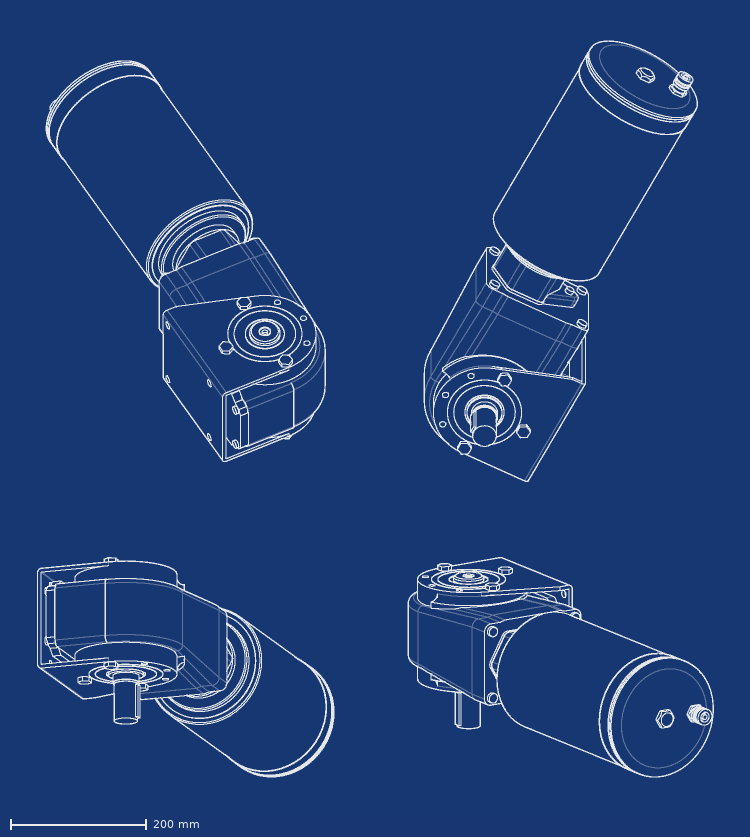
import cadquery as cq
import math


MOTOR_Y = 30.0
CAP_DIAMETER = 181.0
BODY_DIAMETER = 179.0
CAP_REAR_X = -576.4
CAP_RIM_X = -571.5
CAP_FRONT_X = -539.0
CAP_FACE_RADIUS = 75.3
CAP_GROOVE_X = (-567.5, -563.0)
CAP_GROOVE_DEPTH = 0.6
BODY_FRONT_X = -258.0
BODY_FRONT_CHAMFER = 2.0
PILOT_RADIUS = 81.0
FLANGE_X = (-256.5, -245.5)
FLANGE_RADIUS = 70.8
FLANGE_CHAMFER = 2.0
COLLAR_RADIUS = 53.0
COLLAR_FRONT_X = -235.0

PLUG_ACROSS_FLATS = 25.0
PLUG_HEIGHT = 8.7
PLUG_CHAMFER = 4.0
CONNECTOR_Y = MOTOR_Y - 54.3
CONNECTOR_TIP_X = -604.2
CONNECTOR_HEAD_X = -587.6
CONNECTOR_NUT_X = -581.0
CONNECTOR_HEAD_RADIUS = 12.2
CONNECTOR_NECK_RADIUS = 10.0
CONNECTOR_NUT_FLATS = 24.0
CONNECTOR_BORE_DIAMETER = 14.6
CONNECTOR_BORE_DEPTH = 10.0
CONNECTOR_PIN_DIAMETER = 7.0
CONNECTOR_GROOVES_X = (-597.5, -593.0)
CONNECTOR_GROOVE_WIDTH = 1.5
CONNECTOR_GROOVE_DEPTH = 0.8

NECK_ACROSS_FLATS = 93.0
NECK_EDGE_RADIUS = 10.0
NECK_FOOT_LENGTH = 4.5
NECK_FOOT_STEP = 0.6

EAR_REAR_X = -200.5
EAR_TIP_Y = -41.5
EAR_TIP_RADIUS = 13.0
EAR_BASE_HALF = 40.0
EAR_EDGE_RADIUS = 4.0
EAR_BASE_Y = 0.0
EAR_BOLT_Y = -37.0
EAR_BOLT_DIAMETER = 12.0
EAR_BOLT_HEIGHT = 6.0

HOUSING_REAR_X = -184.5
HOUSING_TAPER_X = -151.0
HOUSING_LOW_Y = -78.5
HOUSING_HIGH_Y = 92.0
HOUSING_END_RADIUS = 89.5
HOUSING_REAR_HALF = 62.5
HOUSING_END_HALF = 48.0
HOUSING_EDGE_RADIUS = 11.0
HOUSING_END_EDGE_RADIUS = 8.0
HOUSING_END_BULGE = 1.5
PANEL_RISE = 2.2
PANEL_Y = (-45.5, 60.0)
PANEL_SIDE_RUN = 4.2
HOUSING_BOLT_Y = (-66.0, 79.5)
HOUSING_BOLT_Z = 51.0
HOUSING_BOLT_DIAMETER = 14.6
HOUSING_BOLT_HEIGHT = 5.0

COVER_OUTER_Y = -91.5
COVER_REAR_X = -98.0
COVER_HALF = 57.0
COVER_CORNER_RADIUS = 8.0
COVER_SHOULDER_X = 66.0
COVER_END_HALF = 48.0
COVER_NOSE_HALF = 36.0
COVER_END_X = 77.0
COVER_LUG_X = 88.5
COVER_LUG_HALF = 44.0
COVER_NOSE_X = 94.3
COVER_BOLT_X = 82.5
COVER_BOLT_Z = 38.0
COVER_BOLT_DIAMETER = 12.0
COVER_BOLT_HEIGHT = 4.0

BRACKET_THICKNESS = 6.0
BRACKET_HALF = 76.7
BRACKET_BACK_Y = -112.0
BRACKET_LEFT_X = -109.6
BRACKET_RADIUS = 75.8
BRACKET_SLANT_Y = -90.0
BRACKET_INNER_BEND = 0.6
MOUNT_HOLE_DIAMETER = 11.0
MOUNT_HOLE_X = (-95.5, 34.5)
MOUNT_HOLE_Z = 60.0
FACE_CIRCLE_RADIUS = 65.0
FACE_HOLE_DIAMETER = 9.0
FACE_HOLE_DEPTH = 20.0
FACE_HOLE_ANGLES = (45, 90, 135)
FACE_BOLT_ANGLES = (0, 180, 270)
FACE_BOLT_FLATS = 18.0
FACE_BOLT_HEIGHT = 6.5

BOSS_FLARE = 11.0
BOSS_FLARE_FRONT_X = -25.0
SEAT_RADIUS = 55.0
SEAT_DROP = 0.6
SEAL_RADIUS = 45.6
HUB_RADIUS = 29.0
HUB_DROP = 1.5

SHAFT_CAP_RADIUS = 22.5
SHAFT_CAP_TOP = 82.0
SHAFT_CAP_CHAMFER = 2.5
SHAFT_CAP_RECESS_RADIUS = 8.4
SHAFT_CAP_RECESS_DEPTH = 2.0
SHAFT_CAP_HOLE_DIAMETER = 8.38
SHAFT_CAP_HOLE_DEPTH = 8.0
SHAFT_DIAMETER = 35.0
SHAFT_END_Z = -148.5
SLEEVE_DIAMETER = 39.0
SLEEVE_END_Z = -89.3
SHAFT_COLLAR_DIAMETER = 52.0
SHAFT_COLLAR_END_Z = -78.8
SHOULDER_DIAMETER = 36.4
SHOULDER_END_Z = -92.0
KEY_WIDTH = 10.0
KEY_TOP_Y = 20.5
KEY_Z = (-144.5, -94.5)


def along_x(x0, x1, radius, y=MOTOR_Y, z=0.0):
    """Cylinder parallel to X from x0 to x1."""
    return cq.Workplane("YZ", origin=(x0, y, z)).circle(radius).extrude(x1 - x0)


def hexagon_along_x(x0, x1, across_flats, y):
    """Hexagonal bar parallel to X, with two corners on the Y direction."""
    corner_diameter = across_flats / math.cos(math.pi / 6)
    return cq.Workplane("YZ", origin=(x0, y, 0)).polygon(6, corner_diameter).extrude(x1 - x0)


def along_z(z0, z1, radius):
    """Cylinder about the output shaft axis from z0 to z1."""
    return cq.Workplane("XY", origin=(0, 0, z0)).circle(radius).extrude(z1 - z0)


def doubled_across_z(shape):
    """The shape together with its mirror image below the XY plane."""
    return shape.union(shape.mirror("XY"))


def make_motor():
    cap_radius = CAP_DIAMETER / 2
    body_radius = BODY_DIAMETER / 2
    groove_radius = cap_radius - CAP_GROOVE_DEPTH
    groove_start, groove_end = CAP_GROOVE_X
    profile = [
        (CAP_REAR_X, 0),
        (CAP_REAR_X, CAP_FACE_RADIUS),
        (CAP_RIM_X, cap_radius),
        (groove_start, cap_radius),
        (groove_start, groove_radius),
        (groove_end, groove_radius),
        (groove_end, cap_radius),
        (CAP_FRONT_X, cap_radius),
        (CAP_FRONT_X, body_radius),
        (BODY_FRONT_X - BODY_FRONT_CHAMFER, body_radius),
        (BODY_FRONT_X, body_radius - BODY_FRONT_CHAMFER),
        (BODY_FRONT_X, PILOT_RADIUS),
        (FLANGE_X[0], PILOT_RADIUS),
        (FLANGE_X[0], FLANGE_RADIUS),
        (FLANGE_X[1] - FLANGE_CHAMFER, FLANGE_RADIUS),
        (FLANGE_X[1], FLANGE_RADIUS - FLANGE_CHAMFER),
        (FLANGE_X[1], COLLAR_RADIUS),
        (COLLAR_FRONT_X, COLLAR_RADIUS),
        (COLLAR_FRONT_X, 0),
    ]
    turned = cq.Workplane("XY").polyline(profile).close().revolve(360, (0, 0, 0), (1, 0, 0))
    return turned.translate((0, MOTOR_Y, 0))


def make_plug():
    plug = hexagon_along_x(CAP_REAR_X - PLUG_HEIGHT, CAP_REAR_X, PLUG_ACROSS_FLATS, MOTOR_Y)
    corner_radius = PLUG_ACROSS_FLATS / 2 / math.cos(math.pi / 6)
    chamfered_bar = along_x(CAP_REAR_X - PLUG_HEIGHT, CAP_REAR_X, corner_radius)
    return plug.intersect(chamfered_bar.faces("<X").chamfer(PLUG_CHAMFER))


def make_connector():
    nut = hexagon_along_x(CONNECTOR_NUT_X, CAP_REAR_X, CONNECTOR_NUT_FLATS, CONNECTOR_Y)
    neck = along_x(CONNECTOR_HEAD_X, CONNECTOR_NUT_X, CONNECTOR_NECK_RADIUS, CONNECTOR_Y)
    head = along_x(CONNECTOR_TIP_X, CONNECTOR_HEAD_X, CONNECTOR_HEAD_RADIUS, CONNECTOR_Y)
    for groove_x in CONNECTOR_GROOVES_X:
        groove_end_x = groove_x + CONNECTOR_GROOVE_WIDTH
        floor_radius = CONNECTOR_HEAD_RADIUS - CONNECTOR_GROOVE_DEPTH
        outer = along_x(groove_x, groove_end_x, CONNECTOR_HEAD_RADIUS, CONNECTOR_Y)
        inner = along_x(groove_x, groove_end_x, floor_radius, CONNECTOR_Y)
        head = head.cut(outer.cut(inner))
    bore_end_x = CONNECTOR_TIP_X + CONNECTOR_BORE_DEPTH
    bore = along_x(CONNECTOR_TIP_X, bore_end_x, CONNECTOR_BORE_DIAMETER / 2, CONNECTOR_Y)
    pin = along_x(CONNECTOR_TIP_X, bore_end_x, CONNECTOR_PIN_DIAMETER / 2, CONNECTOR_Y)
    return nut.union(neck).union(head.cut(bore.cut(pin)))


def make_neck():
    neck = hexagon_along_x(COLLAR_FRONT_X, HOUSING_REAR_X, NECK_ACROSS_FLATS, MOTOR_Y)
    neck = neck.edges("|X").fillet(NECK_EDGE_RADIUS)
    foot_flats = NECK_ACROSS_FLATS + 2 * NECK_FOOT_STEP
    foot = hexagon_along_x(HOUSING_REAR_X - NECK_FOOT_LENGTH, HOUSING_REAR_X, foot_flats, MOTOR_Y)
    return neck.union(foot.edges("|X").fillet(NECK_EDGE_RADIUS))


def make_ear():
    """Triangular lug whose rounded tip points to -Y and carries one bolt."""
    thickness = HOUSING_REAR_X - EAR_REAR_X
    base_distance = EAR_BASE_Y - EAR_TIP_Y
    base_span = math.hypot(base_distance, EAR_BASE_HALF)
    side_angle = math.acos(EAR_TIP_RADIUS / base_span) + math.atan2(EAR_BASE_HALF, base_distance)
    tangent_y = EAR_TIP_Y + EAR_TIP_RADIUS * math.cos(side_angle)
    tangent_z = EAR_TIP_RADIUS * math.sin(side_angle)
    ear = (
        cq.Workplane("YZ", origin=(EAR_REAR_X, 0, 0))
        .moveTo(EAR_BASE_Y, -EAR_BASE_HALF)
        .lineTo(EAR_BASE_Y, EAR_BASE_HALF)
        .lineTo(tangent_y, tangent_z)
        .threePointArc((EAR_TIP_Y - EAR_TIP_RADIUS, 0), (tangent_y, -tangent_z))
        .close()
        .extrude(thickness)
    )
    ear = ear.faces("<X").edges("not(>Y)").fillet(EAR_EDGE_RADIUS)
    bolt = along_x(EAR_REAR_X - EAR_BOLT_HEIGHT, EAR_REAR_X, EAR_BOLT_DIAMETER / 2, EAR_BOLT_Y)
    return ear.union(bolt)


def housing_section(x, high_y, half_height, edge_radius):
    """Rounded rectangle across the housing at the given x, placed relative to the taper start."""
    center = cq.Vector((HOUSING_LOW_Y + high_y) / 2, 0, x - HOUSING_TAPER_X)
    section = cq.Sketch().rect(high_y - HOUSING_LOW_Y, 2 * half_height).vertices().fillet(edge_radius)
    return section.moved(cq.Location(center))


def rounded_end_section(reach):
    """Half section from the shaft axis out to the given reach, rounded at its outer corners."""
    half = HOUSING_END_HALF
    section = cq.Workplane("XZ").moveTo(0, -half).lineTo(reach - HOUSING_END_EDGE_RADIUS, -half)
    section = section.radiusArc((reach, HOUSING_END_EDGE_RADIUS - half), -HOUSING_END_EDGE_RADIUS)
    section = section.lineTo(reach, half - HOUSING_END_EDGE_RADIUS)
    section = section.radiusArc((reach - HOUSING_END_EDGE_RADIUS, half), -HOUSING_END_EDGE_RADIUS)
    return section.lineTo(0, half).close()


def make_housing():
    """Body thinning in Z from its rear to the shaft, closed by a round end about the shaft."""
    rear_section = housing_section(
        HOUSING_TAPER_X, HOUSING_HIGH_Y, HOUSING_REAR_HALF, HOUSING_EDGE_RADIUS
    )
    end_section = housing_section(0, HOUSING_END_RADIUS, HOUSING_END_HALF, HOUSING_END_EDGE_RADIUS)
    taper_plane = cq.Workplane("YZ", origin=(HOUSING_TAPER_X, 0, 0))
    rear = taper_plane.placeSketch(rear_section).extrude(HOUSING_REAR_X - HOUSING_TAPER_X)
    taper = taper_plane.placeSketch(rear_section, end_section).loft()
    round_end = rounded_end_section(HOUSING_END_RADIUS).revolve(90, (0, 0, 0), (0, 1, 0))
    straight_end = rounded_end_section(HOUSING_END_RADIUS + HOUSING_END_BULGE).extrude(-HOUSING_LOW_Y)
    return rear.union(taper).union(round_end).union(straight_end)


def make_panels():
    """Raised middle strips on the +Z and -Z faces, with sloping sides, running down the taper."""
    low_y, high_y = PANEL_Y
    profile = [
        (low_y - PANEL_SIDE_RUN, -HOUSING_EDGE_RADIUS),
        (low_y - PANEL_SIDE_RUN, 0),
        (low_y + PANEL_SIDE_RUN, PANEL_RISE),
        (high_y - PANEL_SIDE_RUN, PANEL_RISE),
        (high_y + PANEL_SIDE_RUN, 0),
        (high_y + PANEL_SIDE_RUN, -HOUSING_EDGE_RADIUS),
    ]
    path = cq.Workplane("XZ").polyline(
        [
            (HOUSING_REAR_X, HOUSING_REAR_HALF),
            (HOUSING_TAPER_X, HOUSING_REAR_HALF),
            (0, HOUSING_END_HALF),
        ]
    )
    start = cq.Workplane("YZ", origin=(HOUSING_REAR_X, 0, HOUSING_REAR_HALF))
    return doubled_across_z(start.polyline(profile).close().sweep(path, transition="right"))


def make_housing_bolts():
    bolts = cq.Workplane("XY")
    for y in HOUSING_BOLT_Y:
        for z in (-HOUSING_BOLT_Z, HOUSING_BOLT_Z):
            head_x = HOUSING_REAR_X - HOUSING_BOLT_HEIGHT
            bolts = bolts.union(along_x(head_x, HOUSING_REAR_X, HOUSING_BOLT_DIAMETER / 2, y, z))
    return bolts


def make_cover():
    """Plate under the housing, narrowing to a nose at +X and held by bolts facing -Y."""
    half_outline = [
        (COVER_REAR_X, COVER_HALF),
        (COVER_SHOULDER_X, COVER_HALF),
        (COVER_END_X, COVER_END_HALF),
        (COVER_LUG_X, COVER_LUG_HALF),
        (COVER_NOSE_X, COVER_NOSE_HALF),
    ]
    outline = half_outline + [(x, -z) for x, z in reversed(half_outline)]
    thickness = HOUSING_LOW_Y - COVER_OUTER_Y
    cover = cq.Workplane("XZ", origin=(0, HOUSING_LOW_Y, 0)).polyline(outline).close()
    cover = cover.extrude(thickness).edges("|Y and <X").fillet(COVER_CORNER_RADIUS)
    bolts = (
        cq.Workplane("XZ", origin=(0, COVER_OUTER_Y, 0))
        .pushPoints([(COVER_BOLT_X, COVER_BOLT_Z), (COVER_BOLT_X, -COVER_BOLT_Z)])
        .circle(COVER_BOLT_DIAMETER / 2)
        .extrude(COVER_BOLT_HEIGHT)
    )
    return cover.union(bolts)


def make_bosses():
    """Round bosses joining the housing to the cheeks, flared by a concave fillet towards -X."""
    top_z = BRACKET_HALF - BRACKET_THICKNESS
    boss = along_z(0, top_z, BRACKET_RADIUS)
    flare_profile = (
        cq.Workplane("XZ")
        .moveTo(0, 0)
        .lineTo(BRACKET_RADIUS + BOSS_FLARE, 0)
        .lineTo(BRACKET_RADIUS + BOSS_FLARE, top_z - BOSS_FLARE)
        .radiusArc((BRACKET_RADIUS, top_z), BOSS_FLARE)
        .lineTo(0, top_z)
        .close()
    )
    flare = flare_profile.revolve(360, (0, 0, 0), (0, 1, 0))
    reach = BRACKET_RADIUS + BOSS_FLARE
    rear_zone = cq.Workplane("XY").box(reach, 2 * reach, top_z, centered=(False, True, False))
    flare = flare.intersect(rear_zone.translate((BOSS_FLARE_FRONT_X - reach, 0, 0)))
    return doubled_across_z(boss.union(flare))


def cheek_outline():
    """Bracket outline in XY: round about the shaft, straight at +X, slanting at -X."""
    corner_distance = math.hypot(BRACKET_LEFT_X, BRACKET_SLANT_Y)
    corner_angle = math.atan2(BRACKET_SLANT_Y, BRACKET_LEFT_X)
    tangent_angle = corner_angle - math.acos(BRACKET_RADIUS / corner_distance)
    tangent = (BRACKET_RADIUS * math.cos(tangent_angle), BRACKET_RADIUS * math.sin(tangent_angle))
    return (
        cq.Workplane("XY", origin=(0, 0, -BRACKET_HALF))
        .moveTo(BRACKET_LEFT_X, BRACKET_BACK_Y)
        .lineTo(BRACKET_LEFT_X, BRACKET_SLANT_Y)
        .lineTo(*tangent)
        .threePointArc((0, BRACKET_RADIUS), (BRACKET_RADIUS, 0))
        .lineTo(BRACKET_RADIUS, BRACKET_BACK_Y)
        .close()
    )


def make_bracket():
    """U-shaped sheet: a back plate bent into two cheeks that are rounded about the shaft."""
    width = BRACKET_RADIUS - BRACKET_LEFT_X
    depth = BRACKET_RADIUS - BRACKET_BACK_Y
    middle_x = (BRACKET_RADIUS + BRACKET_LEFT_X) / 2
    inner_half = BRACKET_HALF - BRACKET_THICKNESS
    channel = cq.Workplane("XY").box(width, depth, 2 * inner_half, centered=(True, False, True))
    channel = channel.translate((middle_x, BRACKET_BACK_Y + BRACKET_THICKNESS, 0))
    channel = channel.edges("|X and <Y").fillet(BRACKET_INNER_BEND)
    blank = cheek_outline().extrude(2 * BRACKET_HALF)
    blank = blank.faces("<Y").edges("|X").fillet(BRACKET_THICKNESS + BRACKET_INNER_BEND)
    mount_holes = (
        cq.Workplane("XZ", origin=(0, BRACKET_BACK_Y + BRACKET_THICKNESS, 0))
        .pushPoints([(x, z) for x in MOUNT_HOLE_X for z in (-MOUNT_HOLE_Z, MOUNT_HOLE_Z)])
        .circle(MOUNT_HOLE_DIAMETER / 2)
        .extrude(BRACKET_THICKNESS)
    )
    return blank.cut(channel).cut(mount_holes)


def on_face_circle(angle):
    """Point of the cheek's bolt circle at the given angle in degrees."""
    radians = math.radians(angle)
    return (FACE_CIRCLE_RADIUS * math.cos(radians), FACE_CIRCLE_RADIUS * math.sin(radians))


def make_face_bolts():
    corner_diameter = FACE_BOLT_FLATS / math.cos(math.pi / 6)
    bolts = (
        cq.Workplane("XY", origin=(0, 0, BRACKET_HALF))
        .pushPoints([on_face_circle(angle) for angle in FACE_BOLT_ANGLES])
        .sketch()
        .regularPolygon(corner_diameter / 2, 6, angle=90)
        .finalize()
        .extrude(FACE_BOLT_HEIGHT)
    )
    return doubled_across_z(bolts)


def make_face_holes():
    holes = (
        cq.Workplane("XY", origin=(0, 0, BRACKET_HALF - FACE_HOLE_DEPTH))
        .pushPoints([on_face_circle(angle) for angle in FACE_HOLE_ANGLES])
        .circle(FACE_HOLE_DIAMETER / 2)
        .extrude(FACE_HOLE_DEPTH)
    )
    return doubled_across_z(holes)


def make_seat_recess():
    """Shallow steps of the bearing seat sunk into each cheek around the shaft."""
    outer_ring = along_z(BRACKET_HALF - SEAT_DROP, BRACKET_HALF, SEAT_RADIUS)
    outer_ring = outer_ring.cut(along_z(BRACKET_HALF - SEAT_DROP, BRACKET_HALF, SEAL_RADIUS))
    hub = along_z(BRACKET_HALF - HUB_DROP, BRACKET_HALF, HUB_RADIUS)
    return doubled_across_z(outer_ring.union(hub))


def make_shaft_cap():
    """Cap screwed on the upper shaft end, with a recessed screw."""
    cap = along_z(0, SHAFT_CAP_TOP, SHAFT_CAP_RADIUS).faces(">Z").chamfer(SHAFT_CAP_CHAMFER)
    recess = along_z(SHAFT_CAP_TOP - SHAFT_CAP_RECESS_DEPTH, SHAFT_CAP_TOP, SHAFT_CAP_RECESS_RADIUS)
    hole = along_z(SHAFT_CAP_TOP - SHAFT_CAP_HOLE_DEPTH, SHAFT_CAP_TOP, SHAFT_CAP_HOLE_DIAMETER / 2)
    return cap.cut(recess).cut(hole)


def make_output_shaft():
    """Stepped output shaft pointing to -Z, with a parallel key on its +Y side."""
    shaft = along_z(SHAFT_END_Z, 0, SHAFT_DIAMETER / 2)
    shaft = shaft.union(along_z(SHOULDER_END_Z, 0, SHOULDER_DIAMETER / 2))
    shaft = shaft.union(along_z(SLEEVE_END_Z, 0, SLEEVE_DIAMETER / 2))
    shaft = shaft.union(along_z(SHAFT_COLLAR_END_Z, 0, SHAFT_COLLAR_DIAMETER / 2))
    key_low_z, key_high_z = KEY_Z
    key_length = key_high_z - key_low_z
    key = cq.Workplane("XY").box(KEY_WIDTH, KEY_TOP_Y, key_length, centered=(True, False, False))
    return shaft.union(key.translate((0, 0, key_low_z)))


def make_gearmotor():
    bracket = make_bracket()
    bracket = bracket.union(along_z(-BRACKET_HALF, BRACKET_HALF, SEAT_RADIUS))
    gearbox = bracket.union(make_bosses()).union(make_housing()).union(make_panels())
    gearbox = gearbox.union(make_cover()).cut(make_seat_recess()).cut(make_face_holes())
    for part in (
        make_face_bolts(),
        make_shaft_cap(),
        make_output_shaft(),
        make_housing_bolts(),
        make_neck(),
        make_ear(),
        make_motor(),
        make_plug(),
        make_connector(),
    ):
        gearbox = gearbox.union(part)
    return gearbox


result = make_gearmotor()